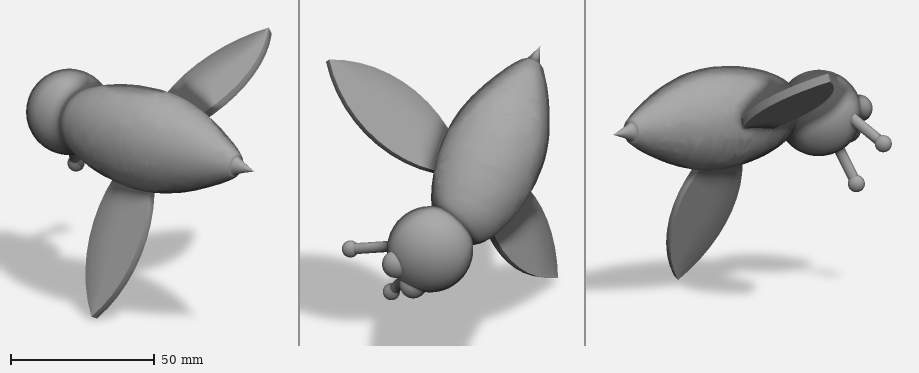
import cadquery as cq


nose_x = 6.7
tail_x = 90.4
belly_x = 39.0
belly_radius = 17.9
shoulder_x, shoulder_radius = 16.2, 12.9
flank_x, flank_radius = 65.7, 12.7
taper_x, taper_radius = 82.0, 4.0

head_radius = 15.1
head_center = cq.Vector(0, 7.3, -2.2)

eye_radius = 4.8
eye_centers = [cq.Vector(-10.8, 16, -0.7), cq.Vector(-11.7, 9.2, -9.1)]

ball_radius = 3.0
rod_radius = 1.9
rod_length = 16
antenna_placements = [
    (cq.Vector(-5.0, 35.1, -10.0), cq.Vector(0.1, -0.88, 0.45)),
    (cq.Vector(-6.8, 19.1, -26.5), cq.Vector(0.2, -0.44, 0.87)),
]

wing_length = 63.1
wing_width = 24.4
wing_thickness = 3.0
wing_placements = [
    (cq.Vector(45.3, 62.3, 23.1), cq.Vector(0.17, 0.88, 0.44), cq.Vector(-0.09, -0.44, 0.88)),
    (cq.Vector(38.3, -24.8, -60.2), cq.Vector(0.01, -0.46, -0.89), cq.Vector(-0.12, -0.88, 0.45)),
]


def make_abdomen():
    profile = [
        (shoulder_x, shoulder_radius),
        (belly_x, belly_radius),
        (flank_x, flank_radius),
        (taper_x, taper_radius),
        (tail_x, 0),
    ]
    nose_tangent = (0, 1)
    tail_tangent = (3, -1)
    outline = cq.Workplane("XY").moveTo(nose_x, 0).spline(
        profile, tangents=[nose_tangent, tail_tangent], includeCurrent=True
    )
    return outline.close().revolve(360, (0, 0, 0), (1, 0, 0))


def make_ball(radius, center):
    return cq.Workplane("XY").sphere(radius).translate(center)


def make_antenna(ball_center, direction):
    rod = cq.Workplane(cq.Solid.makeCylinder(rod_radius, rod_length, ball_center, direction))
    return rod.union(make_ball(ball_radius, ball_center))


def make_wing(tip, direction, normal):
    across = direction.cross(normal)
    plane = cq.Plane(origin=tip, xDir=across, normal=normal)
    middle = -wing_length / 2
    leaf = (
        cq.Workplane(plane)
        .moveTo(0, 0)
        .threePointArc((wing_width / 2, middle), (0, -wing_length))
        .threePointArc((-wing_width / 2, middle), (0, 0))
        .close()
    )
    return leaf.extrude(wing_thickness / 2, both=True)


head = make_ball(head_radius, head_center)
whole_abdomen = make_abdomen()
abdomen = whole_abdomen.cut(head)

eyes = [make_ball(eye_radius, center).cut(head) for center in eye_centers]
antenna_pair = [make_antenna(center, direction).cut(head) for center, direction in antenna_placements]

wings = [make_wing(*placement).cut(whole_abdomen) for placement in wing_placements]

bodies = [head, abdomen, *eyes, *antenna_pair, *wings]
result = cq.Compound.makeCompound([body.val() for body in bodies])